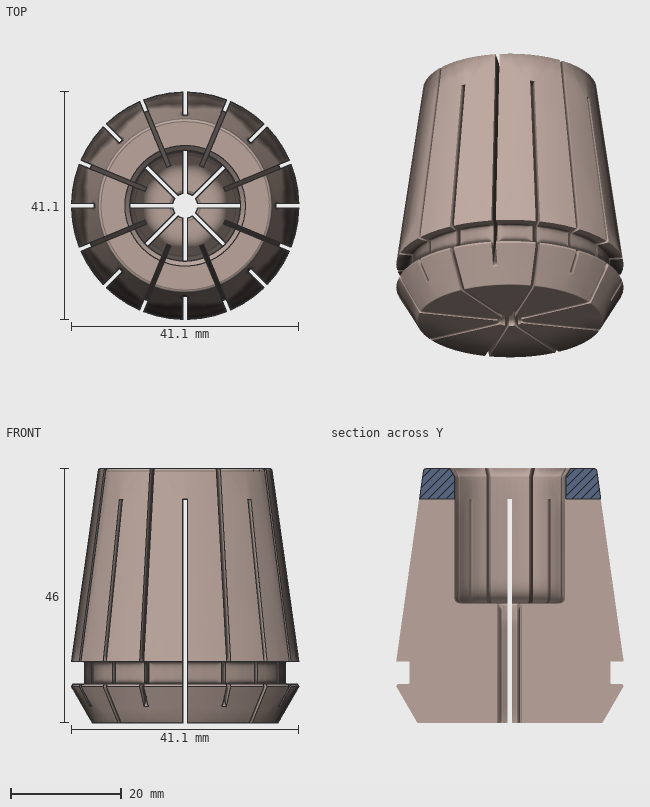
import cadquery as cq
import math

HEIGHT = 46.0
MAX_RADIUS = 20.55

TAPER_ANGLE = 8.0
NUT_ANGLE = 30.0
TAPER_START = 11.1
GROOVE_START = 7.05
NUT_CONE_TOP = 6.6
GROOVE_RADIUS = 18.15
TOP_ROUND = 0.5
BASE_ROUND = 0.2
GROOVE_ROUND = 0.2
FLANGE_BEVEL = 0.25

BORE_RADIUS = 10.0
BORE_FLOOR = 21.6
BORE_FLOOR_ROUND = 0.85
BORE_MOUTH_RADIUS = 10.9
BORE_MOUTH_DEPTH = 1.5
HOLE_RADIUS = 2.25
HOLE_ROUND = 0.5

SLOT_WIDTH = 0.8
SLOT_COUNT = 8
SLOT_PITCH = 360.0 / SLOT_COUNT
LOWER_SLOT_TOP = 40.4
UPPER_SLOT_EXIT = 2.95
SLOT_FLOOR_ANGLE = 60.0
CLEARANCE = 1.0


def slope(angle):
    return math.tan(math.radians(angle))


def nut_cone_radius(z):
    return MAX_RADIUS - (NUT_CONE_TOP - z) * slope(NUT_ANGLE)


def make_outer_body():
    """Solid of revolution: nut cone, flange, groove and long taper."""
    top_radius = MAX_RADIUS - (HEIGHT - TAPER_START) * slope(TAPER_ANGLE)
    profile = (
        cq.Workplane("XZ")
        .moveTo(0, 0)
        .lineTo(nut_cone_radius(0), 0)
        .lineTo(MAX_RADIUS, NUT_CONE_TOP)
        .lineTo(MAX_RADIUS - FLANGE_BEVEL, GROOVE_START)
        .lineTo(GROOVE_RADIUS, GROOVE_START)
        .lineTo(GROOVE_RADIUS, TAPER_START)
        .lineTo(MAX_RADIUS, TAPER_START)
        .lineTo(top_radius, HEIGHT)
        .lineTo(0, HEIGHT)
        .close()
    )
    body = profile.revolve(360, (0, 0, 0), (0, 1, 0))
    body = body.faces(">Z").edges().fillet(TOP_ROUND)
    body = body.faces("<Z").edges().fillet(BASE_ROUND)
    groove_zone = cq.selectors.BoxSelector(
        (-MAX_RADIUS, -MAX_RADIUS, GROOVE_START - GROOVE_ROUND),
        (MAX_RADIUS, MAX_RADIUS, TAPER_START + GROOVE_ROUND),
    )
    groove_corners = body.edges(groove_zone).edges("%CIRCLE").edges(cq.selectors.RadiusNthSelector(0))
    return groove_corners.fillet(GROOVE_ROUND)


def make_bore():
    """Blind bore with a bevelled mouth, and a rounded-edge hole through its floor."""
    floor_plane = cq.Workplane("XY", origin=(0, 0, BORE_FLOOR))
    bore = floor_plane.circle(BORE_RADIUS).extrude(HEIGHT - BORE_FLOOR)
    bore = bore.faces("<Z").edges().fillet(BORE_FLOOR_ROUND)
    mouth = (
        cq.Workplane("XZ")
        .moveTo(0, HEIGHT - BORE_MOUTH_DEPTH)
        .lineTo(BORE_RADIUS, HEIGHT - BORE_MOUTH_DEPTH)
        .lineTo(BORE_MOUTH_RADIUS, HEIGHT)
        .lineTo(0, HEIGHT)
        .close()
        .revolve(360, (0, 0, 0), (0, 1, 0))
    )
    hole = (
        cq.Workplane("XZ")
        .lineTo(HOLE_RADIUS, 0)
        .lineTo(HOLE_RADIUS, BORE_FLOOR - HOLE_ROUND)
        .radiusArc((HOLE_RADIUS + HOLE_ROUND, BORE_FLOOR), HOLE_ROUND)
        .lineTo(0, BORE_FLOOR)
        .close()
        .revolve(360, (0, 0, 0), (0, 1, 0))
    )
    return bore.union(mouth).union(hole)


def make_lower_slot():
    """Radial slot, open at the nut end and stopping short of the top."""
    length = MAX_RADIUS + CLEARANCE
    return cq.Workplane("XY").box(length, SLOT_WIDTH, LOWER_SLOT_TOP, centered=(False, True, False))


def make_upper_slot():
    """Radial slot, open at the top, its floor falling outwards to the nut cone."""
    exit_radius = nut_cone_radius(UPPER_SLOT_EXIT)
    outer = MAX_RADIUS + CLEARANCE
    fall = slope(SLOT_FLOOR_ANGLE)
    return (
        cq.Workplane("XZ")
        .moveTo(0, UPPER_SLOT_EXIT + exit_radius * fall)
        .lineTo(outer, UPPER_SLOT_EXIT - (outer - exit_radius) * fall)
        .lineTo(outer, HEIGHT + CLEARANCE)
        .lineTo(0, HEIGHT + CLEARANCE)
        .close()
        .extrude(SLOT_WIDTH / 2, both=True)
    )


def cut_slots(body):
    """Cut both kinds of slot, the upper ones midway between the lower ones."""
    lower_slot = make_lower_slot()
    upper_slot = make_upper_slot()
    for i in range(SLOT_COUNT):
        angle = i * SLOT_PITCH
        body = body.cut(lower_slot.rotate((0, 0, 0), (0, 0, 1), angle))
        body = body.cut(upper_slot.rotate((0, 0, 0), (0, 0, 1), angle + SLOT_PITCH / 2))
    return body


result = cut_slots(make_outer_body().cut(make_bore()))